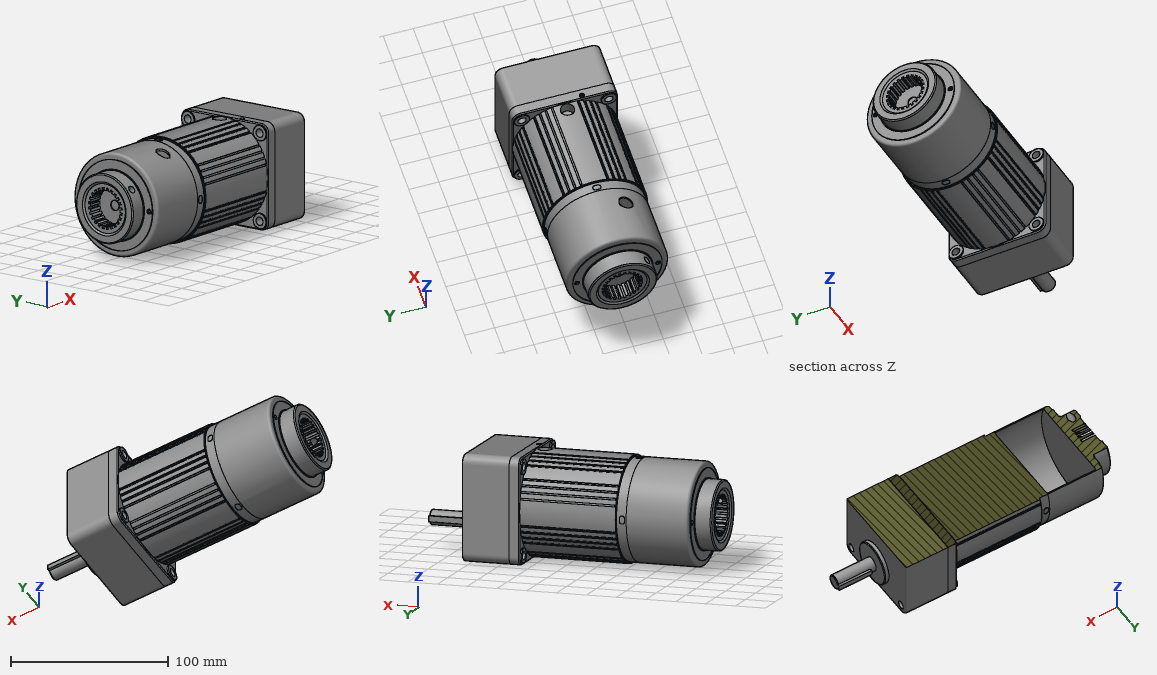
import cadquery as cq
import math

TOTAL_LENGTH = 195.5
FRAME = 70.0
COVER_START = 11.5
SPIGOT_START = 53.5
STATOR_START = 60.0
GEARBOX_START = 124.7
PLATE_END = 131.8
BOX_END = 163.5
BOSS_END = 166.5

COVER_DIAMETER = 67.8
COVER_FILLET = 1.8
SKIRT_THICKNESS = 0.23
CAVITY_START = 16.6
CAVITY_DIAMETER = 65.5
COVER_RAISED_DIAMETER = 59.5
COVER_RAISED_HEIGHT = 0.5
COLLAR_DIAMETER = 45.7
COLLAR_CHAMFER = 0.8
COLLAR_BEAD_DIAMETER = 47.0
COLLAR_BEAD_LENGTH = 0.5
SOCKET_MOUTH_DIAMETER = 35.2
SOCKET_SEAT_DIAMETER = 32.5
SOCKET_SEAT_DEPTH = 1.0
SPLINE_ROOT_DIAMETER = 27.0
SPLINE_TIP_DIAMETER = 24.0
SPLINE_COUNT = 24
SPLINE_GROOVE_WIDTH = 1.4
SOCKET_DEPTH = 11.0
CENTRE_HOLE_DIAMETER = 6.6
CENTRE_HOLE_DEPTH = 0.5
FACE_HOLE_DIAMETER = 3.1
FACE_HOLE_OFFSET = 27.0
FACE_HOLE_DEPTH = 1.0
FACE_PILOT_DIAMETER = 1.5
FACE_PILOT_DEPTH = 4.0
CABLE_HOLE_DIAMETER = 9.0
CABLE_HOLE_X = 41.8
CABLE_HOLE_Y = -14.9
SET_SCREW_DIAMETER = 4.9
SET_SCREW_X = 5.7
SET_SCREW_ANGLE = 39.0
SLOT_X = 56.3
SLOT_LENGTH = 5.3
SLOT_WIDTH = 3.5

SPIGOT_DIAMETER = COVER_DIAMETER - 2 * SKIRT_THICKNESS
STATOR_CHAMFER = 0.4
GROOVE_START = 61.2
GROOVE_WIDTH = 1.2
GROOVE_DEPTH = 0.8
GROOVES_PER_GROUP = 4
GROOVE_FIRST_ANGLE = 14.7
GROOVE_PITCH = 7.2
LEAD_HOLE_DIAMETER = 9.0
LEAD_HOLE_X = 119.5
LEAD_HOLE_DEPTH = 7.8

CORNER_RADIUS = 5.9
EDGE_CHAMFER = 0.8
BOX_END_FILLET = 1.2
BOLT_OFFSET = 29.0
BOLT_DIAMETER = 5.5
PAD_DIAMETER = 10.2
PAD_HEIGHT = 1.0
PIN_HOLE_DIAMETER = 3.1
PIN_HOLE_X = 127.5
PIN_HOLE_Y = -12.1
PIN_HOLE_DEPTH = 1.0
PIN_TIP_DIAMETER = 1.5
PIN_TIP_DEPTH = 3.0
SHAFT_DROP = 14.9
BOSS_DIAMETER = 30.1
BOSS_CHAMFER = 0.5

SHAFT_DIAMETER = 10.0
SHAFT_CHAMFER = 0.5
KEY_WIDTH = 4.0
KEY_TOP = 6.3
KEY_START = 170.0


def cylinder(x_start, x_end, diameter, y=0.0, z=0.0):
    """A cylinder along X."""
    plane = cq.Workplane("YZ", origin=(x_start, y, z))
    return plane.circle(diameter / 2).extrude(x_end - x_start)


def rounded_square(x_start, x_end):
    """A length of the square gearbox section with rounded corners."""
    square = cq.Workplane("YZ", origin=(x_start, 0, 0)).rect(FRAME, FRAME).extrude(x_end - x_start)
    return square.edges("|X").fillet(CORNER_RADIUS)


def spline_socket():
    """The stepped, splined recess in the end of the collar."""
    seat = SOCKET_SEAT_DEPTH
    mouth = (
        cq.Workplane("YZ")
        .circle(SOCKET_MOUTH_DIAMETER / 2)
        .workplane(offset=seat)
        .circle(SOCKET_SEAT_DIAMETER / 2)
        .loft()
    )
    grooves = (
        cq.Workplane("YZ", origin=(seat, 0, 0))
        .polarArray(SPLINE_ROOT_DIAMETER / 4, 360 / SPLINE_COUNT / 2, 360, SPLINE_COUNT)
        .rect(SPLINE_ROOT_DIAMETER / 2, SPLINE_GROOVE_WIDTH)
        .extrude(SOCKET_DEPTH - seat)
    )
    bore = cylinder(seat, SOCKET_DEPTH, SPLINE_TIP_DIAMETER)
    centre_hole = cylinder(SOCKET_DEPTH, SOCKET_DEPTH + CENTRE_HOLE_DEPTH, CENTRE_HOLE_DIAMETER)
    return mouth.union(bore).union(grooves).union(centre_hole)


def set_screw_hole():
    """The radial hole through the collar wall into the socket."""
    angle = math.radians(SET_SCREW_ANGLE)
    outward = cq.Vector(0, -math.cos(angle), math.sin(angle))
    centre = cq.Vector(SET_SCREW_X, 0, 0)
    return cq.Workplane(cq.Solid.makeCylinder(SET_SCREW_DIAMETER / 2, COLLAR_DIAMETER, centre, outward))


def cover_slots():
    """Four slots through the thin skirt of the cover, one on each side."""
    slot = (
        cq.Workplane("XY", origin=(SLOT_X, 0, SPIGOT_DIAMETER / 2 - SKIRT_THICKNESS))
        .slot2D(SLOT_LENGTH, SLOT_WIDTH, 90)
        .extrude(COVER_DIAMETER)
    )
    slots = cq.Workplane("XY")
    for quarter in range(4):
        slots.add(slot.rotate((0, 0, 0), (1, 0, 0), 90 * quarter))
    return slots


def make_brake_cover():
    raised_start = COVER_START
    rim_start = raised_start + COVER_RAISED_HEIGHT
    body = cylinder(rim_start, STATOR_START, COVER_DIAMETER).faces("<X").edges().fillet(COVER_FILLET)
    body = body.union(cylinder(raised_start, rim_start, COVER_RAISED_DIAMETER))
    body = body.union(cylinder(0, raised_start, COLLAR_DIAMETER).faces("<X").edges().chamfer(COLLAR_CHAMFER))
    body = body.union(cylinder(raised_start - COLLAR_BEAD_LENGTH, raised_start, COLLAR_BEAD_DIAMETER))
    body = body.cut(spline_socket()).cut(set_screw_hole())
    for y in (-FACE_HOLE_OFFSET, FACE_HOLE_OFFSET):
        body = body.cut(cylinder(raised_start, raised_start + FACE_HOLE_DEPTH, FACE_HOLE_DIAMETER, y))
        body = body.cut(cylinder(raised_start, raised_start + FACE_PILOT_DEPTH, FACE_PILOT_DIAMETER, y))
    body = body.cut(cylinder(CAVITY_START, SPIGOT_START, CAVITY_DIAMETER))
    body = body.cut(cylinder(SPIGOT_START, STATOR_START, SPIGOT_DIAMETER))
    for slot in cover_slots().vals():
        body = body.cut(cq.Workplane(slot))
    cable_hole = (
        cq.Workplane("XY", origin=(CABLE_HOLE_X, CABLE_HOLE_Y, 0))
        .circle(CABLE_HOLE_DIAMETER / 2)
        .extrude(COVER_DIAMETER / 2)
    )
    return body.cut(cable_hole)


def stator_grooves():
    """Groups of parallel grooves along the stator, mirrored about each quarter of a turn."""
    groove = cq.Workplane("XY").box(
        GEARBOX_START - GROOVE_START, GROOVE_WIDTH, 2 * GROOVE_DEPTH
    ).translate(((GEARBOX_START + GROOVE_START) / 2, 0, FRAME / 2))
    grooves = cq.Workplane("XY")
    for quarter in range(4):
        for side in (-1, 1):
            for i in range(GROOVES_PER_GROUP):
                angle = 90 * quarter + side * (GROOVE_FIRST_ANGLE + i * GROOVE_PITCH)
                grooves.add(groove.rotate((0, 0, 0), (1, 0, 0), angle))
    return grooves


def make_stator():
    body = cylinder(STATOR_START, GEARBOX_START, FRAME).faces("<X").edges().chamfer(STATOR_CHAMFER)
    for groove in stator_grooves().vals():
        body = body.cut(cq.Workplane(groove))
    spigot = cylinder(SPIGOT_START, STATOR_START, SPIGOT_DIAMETER)
    lead_hole = (
        cq.Workplane("XY", origin=(LEAD_HOLE_X, 0, FRAME / 2 - LEAD_HOLE_DEPTH))
        .circle(LEAD_HOLE_DIAMETER / 2)
        .extrude(FRAME)
    )
    return body.union(spigot).cut(lead_hole)


def bolt_circles(x_start, x_end, diameter):
    """Four cylinders at the bolt positions."""
    spacing = 2 * BOLT_OFFSET
    plane = cq.Workplane("YZ", origin=(x_start, 0, 0)).rarray(spacing, spacing, 2, 2)
    return plane.circle(diameter / 2).extrude(x_end - x_start)


def pin_hole(diameter, depth):
    """One step of the pin hole, cut down from the top of the plate."""
    floor = cq.Workplane("XY", origin=(PIN_HOLE_X, PIN_HOLE_Y, FRAME / 2 - depth))
    return floor.circle(diameter / 2).extrude(FRAME)


def make_gearbox_plate():
    plate = rounded_square(GEARBOX_START, PLATE_END).faces("<X").edges().chamfer(EDGE_CHAMFER)
    pad_start = GEARBOX_START - PAD_HEIGHT
    pads = bolt_circles(pad_start, GEARBOX_START, PAD_DIAMETER)
    pads = pads.cut(cylinder(pad_start, GEARBOX_START, FRAME))
    plate = plate.union(pads).cut(pin_hole(PIN_HOLE_DIAMETER, PIN_HOLE_DEPTH))
    plate = plate.cut(pin_hole(PIN_TIP_DIAMETER, PIN_TIP_DEPTH))
    return plate.cut(bolt_circles(pad_start, PLATE_END, BOLT_DIAMETER))


def make_gearbox():
    box = rounded_square(PLATE_END, BOX_END).faces(">X").edges().fillet(BOX_END_FILLET)
    boss = cylinder(BOX_END, BOSS_END, BOSS_DIAMETER, z=-SHAFT_DROP).faces(">X").edges().chamfer(BOSS_CHAMFER)
    return box.union(boss).cut(bolt_circles(PLATE_END, BOX_END, BOLT_DIAMETER))


def make_shaft():
    shaft = cylinder(BOSS_END, TOTAL_LENGTH, SHAFT_DIAMETER, z=-SHAFT_DROP)
    key = (
        cq.Workplane("XZ", origin=(0, 0, -SHAFT_DROP))
        .moveTo(TOTAL_LENGTH, KEY_WIDTH / 2)
        .lineTo(KEY_START + KEY_WIDTH / 2, KEY_WIDTH / 2)
        .radiusArc((KEY_START + KEY_WIDTH / 2, -KEY_WIDTH / 2), -KEY_WIDTH / 2)
        .lineTo(TOTAL_LENGTH, -KEY_WIDTH / 2)
        .close()
        .extrude(-KEY_TOP)
    )
    return shaft.faces(">X").edges().chamfer(SHAFT_CHAMFER).union(key)


brake_cover = make_brake_cover()
stator = make_stator()
gearbox_plate = make_gearbox_plate()
gearbox = make_gearbox()
shaft = make_shaft()

result = cq.Compound.makeCompound(
    [brake_cover.val(), stator.val(), gearbox_plate.val(), gearbox.val(), shaft.val()]
)